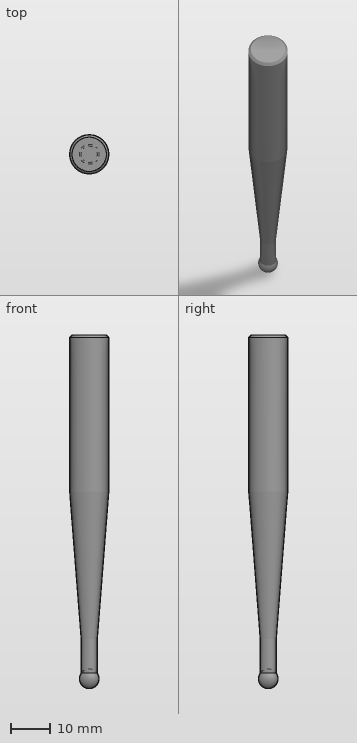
import cadquery as cq
import math

total_length = 90.0
shank_diameter = 10.0
neck_diameter = 4.1
ball_diameter = 5.0

shank_length = 40.0
taper_length = 37.4
chamfer = 0.6

shank_radius = shank_diameter / 2
neck_radius = neck_diameter / 2
ball_radius = ball_diameter / 2
shank_bottom = total_length - shank_length
taper_bottom = shank_bottom - taper_length
seat_rim_height = ball_radius + math.sqrt(ball_radius**2 - neck_radius**2)
seat_half_angle = math.asin(neck_radius / ball_radius) / 2
seat_middle = (
    ball_radius * math.sin(seat_half_angle),
    ball_radius * (1 + math.cos(seat_half_angle)),
)


def make_holder():
    """Chamfered shank tapering to a straight neck that ends in a spherical seat for the ball."""
    return (
        cq.Workplane("XZ")
        .moveTo(0, ball_diameter)
        .threePointArc(seat_middle, (neck_radius, seat_rim_height))
        .lineTo(neck_radius, taper_bottom)
        .lineTo(shank_radius, shank_bottom)
        .lineTo(shank_radius, total_length - chamfer)
        .lineTo(shank_radius - chamfer, total_length)
        .lineTo(0, total_length)
        .close()
        .revolve(360, (0, 0, 0), (0, 1, 0))
    )


def make_ball_tip():
    """Full sphere, with its upper cap seated inside the neck."""
    return cq.Workplane("XY").sphere(ball_radius).translate((0, 0, ball_radius))


holder = make_holder()
ball_tip = make_ball_tip()

result = cq.Compound.makeCompound([holder.val(), ball_tip.val()])